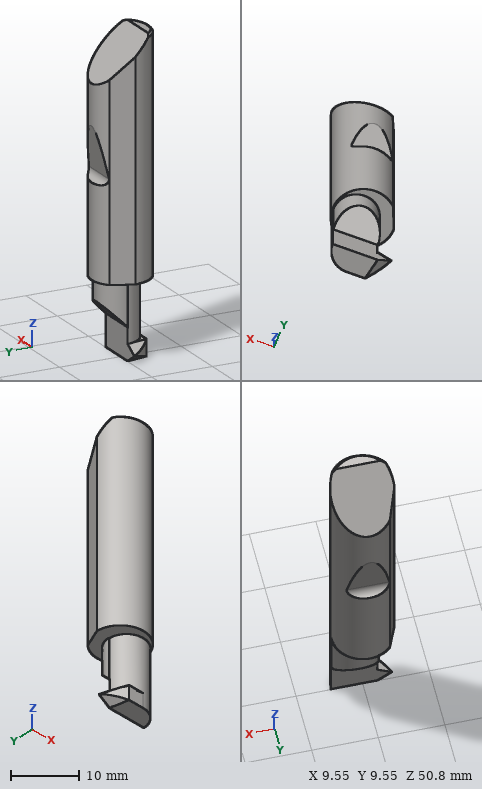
import cadquery as cq
import math

total_length = 50.8
shank_diameter = 9.55
shank_radius = shank_diameter / 2
shank_bottom = 12.7
top_chamfer = 0.35

bevel_start = 43.2

flat_arc = math.radians(47)

notch_depth = 1.25
notch_top = 36.65
notch_bottom = 27.85
notch_radius = notch_depth

neck_radius = 3.5
neck_x = shank_radius - neck_radius
neck_back_shift = 0.1
relief_end = 5.3

rake_y = -0.05
head_height = 2.7
head_front_x = -1.65
head_rake_x = neck_x - neck_radius
tip_x = -4.4
tip_z = 1.4
flank_bulge = 0.2


def make_prism_along_x(yz_points):
    """Cutter with the given (y, z) outline, wider than the shank."""
    return cq.Workplane("YZ").polyline(yz_points).close().extrude(shank_radius, both=True)


def make_shank():
    shank = (
        cq.Workplane("XY")
        .workplane(offset=shank_bottom)
        .circle(shank_radius)
        .extrude(total_length - shank_bottom)
        .faces(">Z")
        .chamfer(top_chamfer)
    )

    bevel_rise = total_length - bevel_start
    bevel = make_prism_along_x([
        (shank_radius, bevel_start),
        (shank_radius, total_length),
        (shank_radius - bevel_rise, total_length),
    ])

    flat_end = math.pi - flat_arc
    side_flat = (
        cq.Workplane("XY")
        .workplane(offset=shank_bottom)
        .moveTo(-shank_radius, 0)
        .lineTo(shank_radius * math.cos(flat_end), shank_radius * math.sin(flat_end))
        .lineTo(-shank_radius, shank_radius)
        .close()
        .extrude(total_length - shank_bottom)
    )

    arc_center_z = notch_bottom + notch_radius
    arc_offset = notch_radius * math.sqrt(0.5)
    notch = (
        cq.Workplane("YZ")
        .moveTo(shank_radius, notch_top)
        .lineTo(shank_radius - notch_depth, arc_center_z)
        .threePointArc(
            (shank_radius - arc_offset, arc_center_z - arc_offset),
            (shank_radius, notch_bottom),
        )
        .close()
        .extrude(shank_radius, both=True)
    )
    return shank.cut(bevel).cut(side_flat).cut(notch)


def make_neck():
    front_half = (
        cq.Workplane("XY")
        .center(neck_x, 0)
        .circle(neck_radius)
        .extrude(shank_bottom)
        .cut(make_prism_along_x([
            (rake_y, 0),
            (rake_y, shank_bottom),
            (neck_radius, shank_bottom),
            (neck_radius, 0),
        ]))
    )
    back_half = (
        cq.Workplane("XY")
        .center(neck_x - neck_back_shift, 0)
        .circle(neck_radius)
        .extrude(shank_bottom)
        .intersect(make_prism_along_x([
            (rake_y, relief_end),
            (rake_y, shank_bottom),
            (neck_radius, shank_bottom),
            (neck_radius, relief_end + neck_radius - rake_y),
        ]))
    )
    return front_half.union(back_half)


def make_head_block():
    return (
        cq.Workplane("XY")
        .polyline([
            (head_rake_x, rake_y),
            (head_front_x, -neck_radius),
            (neck_x, -neck_radius),
            (neck_x, rake_y),
        ])
        .close()
        .extrude(head_height)
    )


def make_tooth():
    """Pointed tooth on the slanted end of the head block, with a convex flank."""
    flank_dx = head_front_x - tip_x
    flank_dy = -neck_radius - rake_y
    flank_length = math.hypot(flank_dx, flank_dy)
    flank_middle = (
        tip_x + flank_dx / 2 + flank_bulge * flank_dy / flank_length,
        rake_y + flank_dy / 2 - flank_bulge * flank_dx / flank_length,
    )
    outline = (
        cq.Workplane("XY")
        .moveTo(head_rake_x, rake_y)
        .lineTo(tip_x, rake_y)
        .threePointArc(flank_middle, (head_front_x, -neck_radius))
        .close()
        .extrude(head_height)
    )

    slant_dx = head_front_x - head_rake_x
    slant_length = math.hypot(slant_dx, flank_dy)
    outward = (flank_dy / slant_length, -slant_dx / slant_length, 0)
    slant = (-slant_dx / slant_length, -flank_dy / slant_length, 0)
    ridge_reach = (tip_x - head_rake_x) * outward[0]
    ridge_plane = cq.Plane(origin=(head_rake_x, rake_y, 0), xDir=outward, normal=slant)
    ridge = (
        cq.Workplane(ridge_plane)
        .polyline([(0, 0), (0, head_height), (ridge_reach, tip_z)])
        .close()
        .extrude(2 * slant_length, both=True)
    )
    return outline.intersect(ridge)


result = make_shank().union(make_neck()).union(make_head_block()).union(make_tooth())